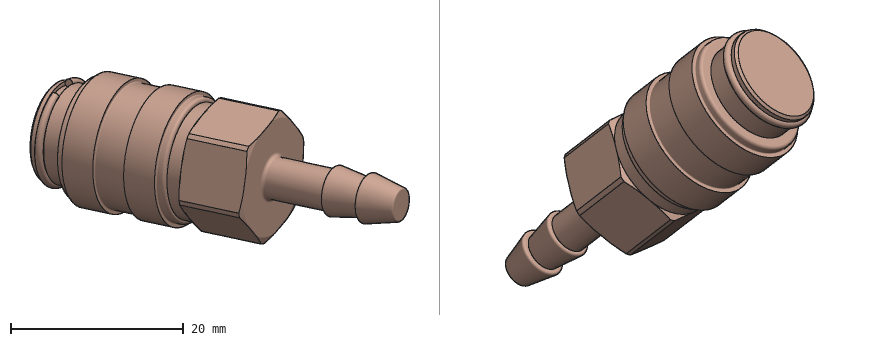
import cadquery as cq
import math

ORIGIN = (0, 0, 0)
X_AXIS = (ORIGIN, (1, 0, 0))
Y_AXIS = (ORIGIN, (0, 1, 0))
Z_AXIS = (ORIGIN, (0, 0, 1))

OVERALL_LENGTH = 46.15
SLEEVE_START = 4.5
COLLAR_SETBACK = 1.05
COLLAR_LENGTH = 4.1
COLLAR_SPACING = 4.1
NECK_LENGTH = 1.75
HEX_LENGTH = 8.45
FIRST_BARB = 37.1
BARB_PITCH = 4.47

FRONT_COLLAR_START = SLEEVE_START + COLLAR_SETBACK
REAR_COLLAR_START = FRONT_COLLAR_START + COLLAR_LENGTH + COLLAR_SPACING
SLEEVE_END = REAR_COLLAR_START + COLLAR_LENGTH + COLLAR_SETBACK
HEX_START = SLEEVE_END + NECK_LENGTH
HEX_END = HEX_START + HEX_LENGTH
SECOND_BARB = FIRST_BARB + BARB_PITCH

NOSE_R = 12.15 / 2
NOSE_FACE_R = 11.48 / 2
NOSE_GROOVE_R = 11.15 / 2
SLEEVE_R = 15.1 / 2
COLLAR_R = 16.15 / 2
NECK_R = 14.0 / 2
STEM_R = 5.05 / 2
BARB_R = 3.12
FIRST_BARB_END_R = 2.35
TIP_R = 2.02

NOSE_CHAMFER_LENGTH = 0.3
SLEEVE_ROUND = 0.4
COLLAR_FILLET = 0.12
STEM_FILLET = 0.45
BARB_ROUND = 0.3
TIP_ROUND = 0.25

GROOVE_START = 0.86
GROOVE_WIDTH = 1.15
RING_WIRE_R = 0.5
RING_CENTRE_R = NOSE_GROOVE_R + RING_WIRE_R
RING_GAP_ANGLE = 30.0
RING_GAP_START = 6.5
RING_TILT_ABOUT_Y = 1.15
RING_TILT_ABOUT_Z = -0.6

HEX_ACROSS_FLATS = 14.0
HEX_CORNER_R = 15.8 / 2
HEX_ROTATION = 15.0
HEX_CHAMFER_LENGTH = 0.25
HEX_CHAMFER_DEPTH = 0.8


def cylinder(start, end, radius):
    """Solid cylinder along X from start to end."""
    return cq.Workplane("YZ", origin=(start, 0, 0)).circle(radius).extrude(end - start)


def revolve_profile(points):
    """Solid of revolution about X from the (x, radius) points of its outline."""
    outline = [(points[0][0], 0)] + points + [(points[-1][0], 0)]
    return cq.Workplane("XY").polyline(outline).close().revolve(360, *X_AXIS)


def nose():
    """Chamfered front plug with the snap ring groove."""
    groove_end = GROOVE_START + GROOVE_WIDTH
    return revolve_profile([
        (0, NOSE_FACE_R),
        (NOSE_CHAMFER_LENGTH, NOSE_R),
        (GROOVE_START, NOSE_R),
        (GROOVE_START, NOSE_GROOVE_R),
        (groove_end, NOSE_GROOVE_R),
        (groove_end, NOSE_R),
        (SLEEVE_START, NOSE_R),
    ])


def snap_ring():
    """Round-wire ring, slightly tilted in its groove and open near the top."""
    wire = (
        cq.Workplane("XY")
        .center(0, RING_CENTRE_R)
        .circle(RING_WIRE_R)
        .revolve(360 - RING_GAP_ANGLE, (0, -RING_CENTRE_R), (1, -RING_CENTRE_R))
    )
    centre = GROOVE_START + GROOVE_WIDTH / 2
    return (
        wire.rotate(*X_AXIS, 90 - RING_GAP_START + RING_GAP_ANGLE)
        .rotate(*Y_AXIS, RING_TILT_ABOUT_Y)
        .rotate(*Z_AXIS, RING_TILT_ABOUT_Z)
        .translate((centre, 0, 0))
    )


def sleeve():
    """Sliding sleeve with two raised collars, filleted at their roots and rounded at its ends."""
    body = cylinder(SLEEVE_START, SLEEVE_END, SLEEVE_R)
    for start in (FRONT_COLLAR_START, REAR_COLLAR_START):
        body = body.union(cylinder(start, start + COLLAR_LENGTH, COLLAR_R))
    end_edges = cq.StringSyntaxSelector("<X or >X")
    collar_roots = cq.selectors.RadiusNthSelector(0) - end_edges
    body = body.edges(collar_roots).fillet(COLLAR_FILLET)
    return body.faces("<X or >X").edges().fillet(SLEEVE_ROUND)


def hexagon():
    """Wrench hexagon with trimmed corners and chamfered ends."""
    sides = 6
    across_corners = HEX_ACROSS_FLATS / math.cos(math.pi / sides)
    prism = (
        cq.Workplane("YZ", origin=(HEX_START, 0, 0))
        .polygon(sides, across_corners)
        .extrude(HEX_LENGTH)
        .rotate(*X_AXIS, HEX_ROTATION)
    )
    end_face_r = HEX_CORNER_R - HEX_CHAMFER_DEPTH
    envelope = revolve_profile([
        (HEX_START, end_face_r),
        (HEX_START + HEX_CHAMFER_LENGTH, HEX_CORNER_R),
        (HEX_END - HEX_CHAMFER_LENGTH, HEX_CORNER_R),
        (HEX_END, end_face_r),
    ])
    return prism.intersect(envelope)


def barb(start, end, end_radius):
    """Hose barb tapering toward +X, with a rounded crest."""
    cone = revolve_profile([(start, BARB_R), (end, end_radius)])
    return cone.faces("<X").edges().fillet(BARB_ROUND)


def hose_stem():
    """Plain stem followed by two barbs, the last one ending in a rounded tip."""
    stem = cylinder(HEX_END, FIRST_BARB, STEM_R)
    first = barb(FIRST_BARB, SECOND_BARB, FIRST_BARB_END_R)
    second = barb(SECOND_BARB, OVERALL_LENGTH, TIP_R)
    second = second.faces(">X").edges().fillet(TIP_ROUND)
    return stem.union(first).union(second)


def stem_root_fillet():
    """Concave ring blending the stem into the hexagon's end face."""
    outer_r = STEM_R + STEM_FILLET
    fillet_end = HEX_END + STEM_FILLET
    arc_inset = STEM_FILLET * (1 - math.sqrt(0.5))
    return (
        cq.Workplane("XY")
        .moveTo(HEX_END, 0)
        .lineTo(HEX_END, outer_r)
        .threePointArc((HEX_END + arc_inset, STEM_R + arc_inset), (fillet_end, STEM_R))
        .lineTo(fillet_end, 0)
        .close()
        .revolve(360, *X_AXIS)
    )


result = (
    nose()
    .union(snap_ring())
    .union(sleeve())
    .union(cylinder(SLEEVE_END, HEX_START, NECK_R))
    .union(hexagon())
    .union(stem_root_fillet())
    .union(hose_stem())
)